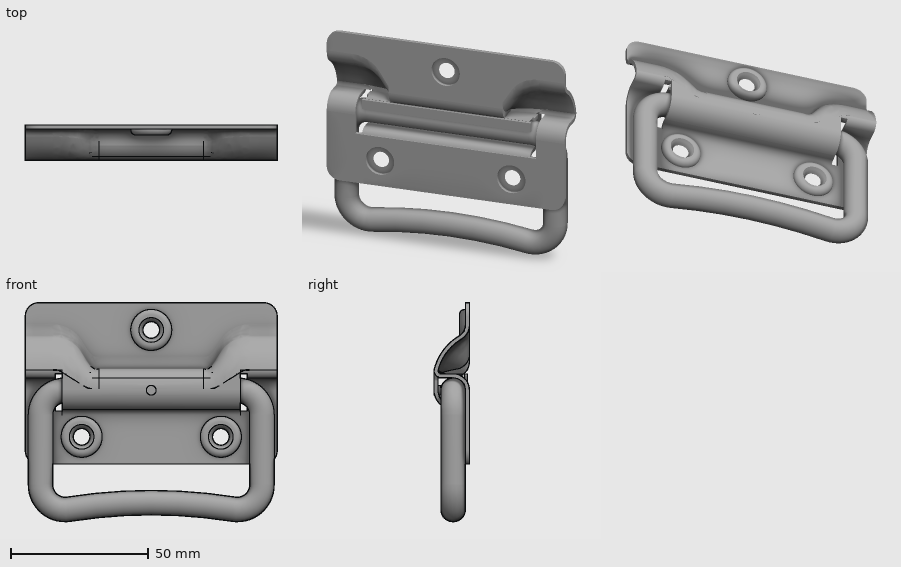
import cadquery as cq
import math


sheet_t = 1.5
plate_w = 92.0
plate_top = 32.0
plate_bottom = -27.0
plate_corner_r = 5.0
overall_depth = 13.0
inner_depth = overall_depth - sheet_t

rod_r = 4.5
rod_depth = sheet_t + rod_r
leg_x = 40.4
handle_corner_r = 9.0
grip_r = 190.0
grip_mid_z = -41.02

shelf_under = rod_r
shelf_top = rod_r + sheet_t
fold_z = 7.3
fold_outer_r = fold_z - shelf_under
fold_inner_r = fold_outer_r - sheet_t

window_half_w = 35.0
window_bottom = -7.5
knuckle_half_w = 32.5
curl_outer_r = overall_depth - rod_depth
curl_inner_r = curl_outer_r - sheet_t
foot_r = 2.0
foot_z = -curl_outer_r - foot_r

end_x = 36.0
middle_x = 19.0
end_base_z = 24.0
middle_base_z = 12.3
upper_arc_share = 0.7
hood_loft_steps = 6
pocket_loft_steps = 5
hood_root = (4.4, 19.5)
hood_crown = (9.9, 14.2)
ledge_root = (6.0, 7.8)
panel_top = (7.7, 7.7)
panel_crown = (10.9, 5.6)
panel_foot_z = 0.6
panel_half_w = 23.0
roof_front = 9.5
flange_x = 33.8
pocket_end_x = 22.0
pocket_root = (4.9, 6.8)
pocket_crown = (7.8, 6.55)
pocket_tip = (10.0, 6.3)
valley_r = rod_depth
valley_top = shelf_under + valley_r

eyelet_places = [(0, 22.0), (-25.4, -17.0), (25.4, -17.0)]
eyelet_r = 7.5
eyelet_round = 2.0
eyelet_depth = 3.75
screw_hole_r = 3.0
countersink_r = 4.5
recess_r = 5.5
recess_depth = sheet_t

pin_r = 1.78
strip_back = 0.7
strip_t = 1.2
strip_bottom = 2.3

overshoot = 1.0


def across(half_w):
    """(depth, z) workplane at X = half_w, so that extruding it by 2 * half_w centres it on X = 0."""
    return cq.Workplane(cq.Plane(origin=(half_w, 0, 0), xDir=(0, -1, 0), normal=(-1, 0, 0)))


def block(x0, x1, depth0, depth1, z0, z1):
    box = cq.Workplane().box(x1 - x0, depth1 - depth0, z1 - z0, centered=False)
    return box.translate((x0, -depth1, z0))


def on_circle(center, radius, degrees):
    angle = math.radians(degrees)
    return (center[0] + radius * math.cos(angle), center[1] + radius * math.sin(angle))


def blend(a, b, share):
    return tuple(p + (q - p) * share for p, q in zip(a, b))


def drop_share(x):
    """How far the hood has come down at x: 0 at the ends, 1 in the middle, along an S of two arcs."""
    run = end_x - middle_x
    drop = end_base_z - middle_base_z
    turn = 2 * math.atan2(drop, run)
    radii_sum = run / math.sin(turn)
    upper_r = upper_arc_share * radii_sum
    lower_r = radii_sum - upper_r
    along = end_x - abs(x)
    if along <= upper_r * math.sin(turn):
        return (upper_r - math.sqrt(upper_r**2 - along**2)) / drop
    left = run - along
    return 1 - (lower_r - math.sqrt(lower_r**2 - left**2)) / drop


def flange_z(x):
    """Lower edge of the hood on the front face: level, then slanting down to the middle panel."""
    share = (flange_x - abs(x)) / (flange_x - panel_half_w)
    return fold_z + (panel_foot_z - fold_z) * min(1, max(0, share))


def section_wire(x, base, root, crown, tip, corners):
    """Closed section at x: concave foot from base to root, convex arc over crown to tip, straight back."""
    def point(p):
        return cq.Vector(x, -p[0], p[1])

    edges = [
        cq.Edge.makeTangentArc(point(base), cq.Vector(0, 0, -1), point(root)),
        cq.Edge.makeThreePointArc(point(root), point(crown), point(tip)),
    ]
    outline = [tip, *corners, base]
    edges += [cq.Edge.makeLine(point(p), point(q)) for p, q in zip(outline, outline[1:])]
    return cq.Wire.assembleEdges(edges)


def hood_section(x):
    share = drop_share(x)
    foot = flange_z(x)
    base = (sheet_t, end_base_z + (middle_base_z - end_base_z) * share)
    root = blend(hood_root, ledge_root, share)
    crown = blend(hood_crown, panel_crown, share)
    return section_wire(x, base, root, crown, (overall_depth, foot), [(sheet_t, foot)])


def pocket_section(x):
    """Hollow under the hood, one sheet thickness inside it and open at the back."""
    share = drop_share(x)
    offset = sheet_t * math.sqrt(0.5)
    base = (0, end_base_z + (middle_base_z - end_base_z) * share)
    root = blend((hood_root[0] - offset, hood_root[1] - offset), pocket_root, share)
    crown = blend((hood_crown[0] - offset, hood_crown[1] - offset), pocket_crown, share)
    tip = blend((inner_depth, fold_z), pocket_tip, share)
    behind = -overshoot
    corners = [(tip[0] - fold_inner_r, shelf_top), (behind, shelf_top), (behind, base[1])]
    return section_wire(x, base, root, crown, tip, corners)


def tapered(section, inner_x, steps, outer_x):
    """Both ends of a hood-like shape: constant from outer_x to end_x, then tapering in to inner_x."""
    stations = [end_x + (inner_x - end_x) * i / steps for i in range(steps + 1)]
    taper = cq.Solid.makeLoft([section(x) for x in stations])
    straight = cq.Solid.extrudeLinear(section(end_x), [], cq.Vector(outer_x - end_x, 0, 0))
    half = cq.Workplane(taper).union(cq.Workplane(straight))
    return half.union(half.mirror("YZ"))


def make_hood():
    """Upper plate with the raised hood, hollow at both ends and open above the rod."""
    arc_r = ledge_root[0] - sheet_t
    concave_mid = on_circle((ledge_root[0], middle_base_z), arc_r, 225)
    panel_rise = panel_top[1] - panel_foot_z
    panel_run = overall_depth - panel_top[0]
    panel_r = (panel_rise**2 + panel_run**2) / (2 * panel_run)
    panel_turn = math.degrees(math.asin(panel_rise / panel_r))
    panel_mid = on_circle((overall_depth - panel_r, panel_foot_z), panel_r, panel_turn / 2)
    middle = (
        across(middle_x)
        .moveTo(sheet_t, middle_base_z)
        .threePointArc(concave_mid, ledge_root)
        .lineTo(*panel_top)
        .threePointArc(panel_mid, (overall_depth, panel_foot_z))
        .lineTo(sheet_t, panel_foot_z)
        .close()
        .extrude(2 * middle_x)
    )
    back = block(-plate_w / 2, plate_w / 2, 0, sheet_t, shelf_top, plate_top)
    hood = middle.union(tapered(hood_section, middle_x, hood_loft_steps, plate_w / 2)).union(back)
    pocket = tapered(pocket_section, pocket_end_x, pocket_loft_steps, plate_w / 2 + overshoot)
    hood = hood.cut(pocket)
    bore = block(-knuckle_half_w, knuckle_half_w, -overshoot, inner_depth, 0, shelf_under)
    return hood.cut(bore)


def make_lower_plate():
    """Fold, shelf, quarter bend and flat plate, with the window cut through behind the hinge."""
    fold_center = (overall_depth - fold_outer_r, fold_z)
    axis = (rod_depth, 0)
    plate = (
        across(plate_w / 2)
        .moveTo(0, plate_bottom)
        .lineTo(0, 0)
        .threePointArc(on_circle(axis, shelf_top, 135), (rod_depth, shelf_top))
        .lineTo(fold_center[0], shelf_top)
        .threePointArc(on_circle(fold_center, fold_inner_r, -45), (inner_depth, fold_z))
        .lineTo(overall_depth, fold_z)
        .threePointArc(on_circle(fold_center, fold_outer_r, -45), (fold_center[0], shelf_under))
        .lineTo(rod_depth, shelf_under)
        .threePointArc(on_circle(axis, rod_r, 135), (sheet_t, 0))
        .lineTo(sheet_t, plate_bottom)
        .close()
        .extrude(plate_w)
    )
    front = overall_depth + overshoot
    window = block(-window_half_w, window_half_w, -overshoot, front, window_bottom, shelf_top)
    fold_gap = block(-knuckle_half_w, knuckle_half_w, -overshoot, front, window_bottom, fold_z)
    return plate.cut(window).cut(fold_gap)


def make_knuckle():
    """Front wall, curl under the rod, and foot running down into the lower plate."""
    axis = (rod_depth, 0)
    foot_center = (sheet_t + foot_r, foot_z)
    foot_outer_r = foot_r + sheet_t
    curl = (
        across(knuckle_half_w)
        .moveTo(inner_depth, panel_foot_z)
        .lineTo(inner_depth, 0)
        .threePointArc(on_circle(axis, curl_inner_r, -45), (rod_depth, -curl_inner_r))
        .lineTo(foot_center[0], -curl_inner_r)
        .threePointArc(on_circle(foot_center, foot_outer_r, 135), (0, foot_z))
        .lineTo(sheet_t, foot_z)
        .threePointArc(on_circle(foot_center, foot_r, 135), (foot_center[0], -curl_outer_r))
        .lineTo(rod_depth, -curl_outer_r)
        .threePointArc(on_circle(axis, curl_outer_r, -45), (overall_depth, 0))
        .lineTo(overall_depth, panel_foot_z)
        .close()
        .extrude(2 * knuckle_half_w)
    )
    edge_z = flange_z(knuckle_half_w)
    wall = (
        cq.Workplane("XZ", origin=(0, -inner_depth, 0))
        .polyline([
            (-knuckle_half_w, 0),
            (knuckle_half_w, 0),
            (knuckle_half_w, edge_z),
            (panel_half_w, panel_foot_z),
            (-panel_half_w, panel_foot_z),
            (-knuckle_half_w, edge_z),
        ])
        .close()
        .extrude(sheet_t)
    )
    roof = block(-knuckle_half_w, knuckle_half_w, rod_depth, roof_front, shelf_under, shelf_top)
    return curl.union(wall).union(roof)


def valley():
    """Rounded clearance behind the low middle of the hood."""
    behind = -overshoot
    return (
        across(window_half_w)
        .moveTo(behind, valley_top)
        .lineTo(0, valley_top)
        .threePointArc(on_circle((valley_r, valley_top), valley_r, 225), (valley_r, shelf_under))
        .lineTo(behind, shelf_under)
        .close()
        .extrude(2 * window_half_w)
    )


def eyelet():
    """Raised ring with a rounded rim, revolved about the screw axis."""
    rim_r = eyelet_r - eyelet_round
    rim_start = eyelet_depth - eyelet_round
    rim_mid = on_circle((rim_r, rim_start), eyelet_round, 45)
    return (
        cq.Workplane("XY")
        .moveTo(0, 0)
        .lineTo(eyelet_r, 0)
        .lineTo(eyelet_r, -rim_start)
        .threePointArc((rim_mid[0], -rim_mid[1]), (rim_r, -eyelet_depth))
        .lineTo(0, -eyelet_depth)
        .close()
        .revolve(360, (0, 0, 0), (0, 1, 0))
    )


def screw_hole():
    """Hole through an eyelet: a funnel narrowing toward the back, then a wider recess in the plate."""
    funnel = (
        cq.Workplane("XZ", origin=(0, -recess_depth, 0))
        .circle(screw_hole_r)
        .workplane(offset=eyelet_depth - recess_depth)
        .circle(countersink_r)
        .loft()
    )
    return funnel.union(cq.Workplane("XZ").circle(recess_r).extrude(recess_depth))


def make_pin():
    """Stop pin through the knuckle wall, its tip resting on the rod."""
    tip_depth = rod_depth + rod_r
    return cq.Workplane("XZ", origin=(0, -tip_depth, 0)).circle(pin_r).extrude(overall_depth - tip_depth)


def make_sheet():
    """The whole folded sheet, with rounded plate corners, eyelets and the pin hole."""
    sheet = make_hood().cut(valley()).union(make_lower_plate()).union(make_knuckle())
    outline = (
        block(-plate_w / 2, plate_w / 2, 0, overall_depth, plate_bottom, plate_top)
        .edges("|Y").fillet(plate_corner_r)
    )
    sheet = sheet.intersect(outline)
    for x, z in eyelet_places:
        sheet = sheet.union(eyelet().translate((x, 0, z))).cut(screw_hole().translate((x, 0, z)))
    return sheet.cut(make_pin())


def make_handle():
    """Closed loop of round rod: hinge bar, two legs and a grip bowed up in the middle."""
    corner_x = leg_x - handle_corner_r
    grip_center = (0, grip_mid_z - grip_r)
    corner_z = grip_center[1] + math.sqrt((grip_r + handle_corner_r) ** 2 - corner_x**2)
    lean = math.degrees(math.atan2(corner_x, corner_z - grip_center[1]))
    right_end = on_circle(grip_center, grip_r, 90 - lean)
    left_end = on_circle(grip_center, grip_r, 90 + lean)
    right_top = (corner_x, -handle_corner_r)
    left_top = (-corner_x, -handle_corner_r)
    path = (
        cq.Workplane("XZ", origin=(0, -rod_depth, 0))
        .moveTo(0, 0)
        .lineTo(corner_x, 0)
        .threePointArc(on_circle(right_top, handle_corner_r, 45), (leg_x, -handle_corner_r))
        .lineTo(leg_x, corner_z)
        .threePointArc(on_circle((corner_x, corner_z), handle_corner_r, -45), right_end)
        .threePointArc((0, grip_mid_z), left_end)
        .threePointArc(on_circle((-corner_x, corner_z), handle_corner_r, -135), (-leg_x, corner_z))
        .lineTo(-leg_x, -handle_corner_r)
        .threePointArc(on_circle(left_top, handle_corner_r, 135), (-corner_x, 0))
        .close()
    )
    return cq.Workplane("YZ", origin=(0, -rod_depth, 0)).circle(rod_r).sweep(path)


def make_strip():
    """Thin strip standing in the window behind the rod."""
    return block(-knuckle_half_w, knuckle_half_w, strip_back, strip_back + strip_t, strip_bottom, shelf_top)


sheet = make_sheet()
handle = make_handle()
pin = make_pin()
strip = make_strip()

result = cq.Compound.makeCompound([sheet.solids().val(), handle.val(), pin.val(), strip.val()])